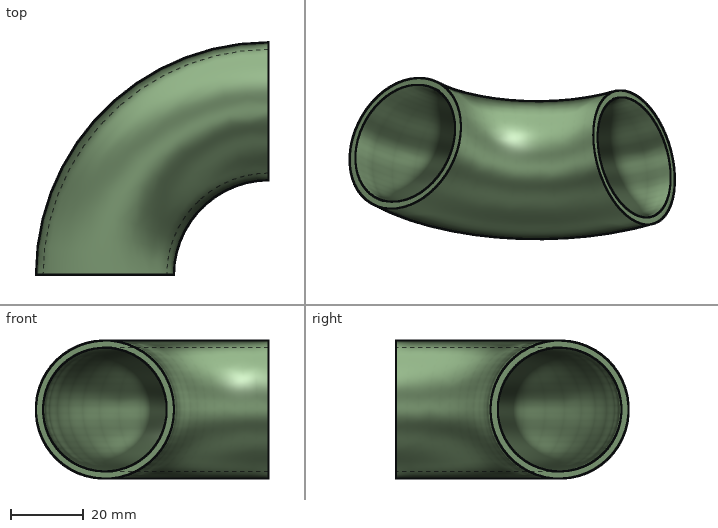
import cadquery as cq

OUTER_DIAMETER = 38.0
WALL_THICKNESS = 2.0
BEND_RADIUS = 45.0
BEND_ANGLE = 90.0

OUTER_RADIUS = OUTER_DIAMETER / 2
INNER_RADIUS = OUTER_RADIUS - WALL_THICKNESS


def make_elbow():
    """Sweep the tube's ring section around the Z axis.

    The bend axis passes through the origin. One open end faces -Y,
    centred at X = -BEND_RADIUS, and the other faces +X, centred at
    Y = +BEND_RADIUS.
    """
    ring_section = (
        cq.Workplane("XZ")
        .center(-BEND_RADIUS, 0)
        .circle(OUTER_RADIUS)
        .circle(INNER_RADIUS)
    )
    axis_start = (BEND_RADIUS, 0)
    axis_end = (BEND_RADIUS, -1)
    return ring_section.revolve(BEND_ANGLE, axis_start, axis_end)


result = make_elbow()